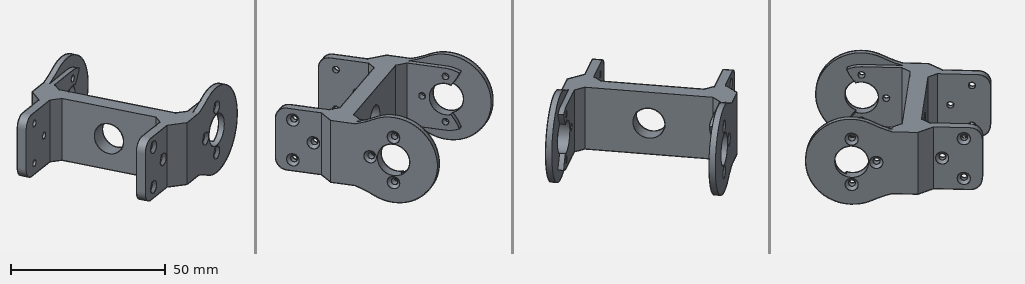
import cadquery as cq
import math

WIDTH = 56.0
LENGTH = 57.0
BODY_HEIGHT = 21.85

EAR_RADIUS = 15.0
EAR_THICKNESS = 2.1
EAR_HOLE_DIAMETER = 11.0
BLEND_START_ANGLE = 63.4
BLEND_RADIUS = 37.05

SIDE_THICKNESS = 4.0
PAD_TIP_Y = 4.8
PAD_ROOT_Y = 1.9
PAD_EDGE_RADIUS = 15.95

WEB_THICKNESS = 6.0
WEB_REAR_Y = 26.05
WEB_HOLE_DIAMETER = 10.5
CORNER_CHAMFER = 2.9
TAIL_INSET = 4.85
TAIL_THICKNESS = 3.25
SHOULDER_Y = 20.6
TAIL_CORNER_RADIUS = 4.0

SCREW_DIAMETER = 2.2
SCREW_HEAD_DIAMETER = 4.3
COUNTERSINK_ANGLE = 90.0
EAR_SCREW_CIRCLE_RADIUS = 8.0
TAIL_SCREW_Y = 6.0
TAIL_SCREW_Z = 7.0
TAIL_CENTRE_SCREW_Y = 13.0

half_width = WIDTH / 2
half_height = BODY_HEIGHT / 2
ear_y = LENGTH - EAR_RADIUS
web_front_y = WEB_REAR_Y - WEB_THICKNESS
ear_inner_x = half_width - EAR_THICKNESS
side_inner_x = half_width - SIDE_THICKNESS
tail_outer_x = half_width - TAIL_INSET
tail_inner_x = tail_outer_x - TAIL_THICKNESS


def slab(outline, x_start, x_end):
    """Extrude an outline drawn in Y and Z between two X positions."""
    return outline.extrude(x_end - x_start).translate((x_start, 0, 0))


def arc_middle(centre, radius, start, end):
    """Point on the circle halfway along the short arc from start to end."""
    y = (start[0] + end[0]) / 2 - centre[0]
    z = (start[1] + end[1]) / 2 - centre[1]
    scale = radius / math.hypot(y, z)
    return (centre[0] + y * scale, centre[1] + z * scale)


def mirrored(point):
    return (point[0], -point[1])


def body():
    """Right half of the constant-height frame: web, chamfered corners, side wall and tail."""
    half_outline = [
        (0, WEB_REAR_Y),
        (side_inner_x - CORNER_CHAMFER, WEB_REAR_Y),
        (side_inner_x, WEB_REAR_Y + CORNER_CHAMFER),
        (side_inner_x, LENGTH),
        (half_width, LENGTH),
        (half_width, SHOULDER_Y),
        (tail_outer_x, SHOULDER_Y - TAIL_INSET),
        (tail_outer_x, 0),
        (tail_inner_x, 0),
        (tail_inner_x, web_front_y - CORNER_CHAMFER),
        (tail_inner_x - CORNER_CHAMFER, web_front_y),
        (0, web_front_y),
    ]
    half = cq.Workplane("XY").polyline(half_outline).close().extrude(half_height, both=True)
    return half.edges("|X and <Y").fillet(TAIL_CORNER_RADIUS)


def pad_limit():
    """Side profile of the frame: round about the ear axis, with a notch behind the ear hole."""
    tip = (ear_y + PAD_TIP_Y, math.sqrt(half_height**2 - PAD_TIP_Y**2))
    root = (ear_y + PAD_ROOT_Y, math.sqrt((EAR_HOLE_DIAMETER / 2) ** 2 - PAD_ROOT_Y**2))
    chord_y = tip[0] - root[0]
    chord_z = tip[1] - root[1]
    chord = math.hypot(chord_y, chord_z)
    bulge = PAD_EDGE_RADIUS - math.sqrt(PAD_EDGE_RADIUS**2 - (chord / 2) ** 2)
    middle = (
        (tip[0] + root[0]) / 2 + bulge * chord_z / chord,
        (tip[1] + root[1]) / 2 - bulge * chord_y / chord,
    )
    notch = (
        cq.Workplane("YZ")
        .moveTo(*root)
        .threePointArc(middle, tip)
        .lineTo(LENGTH, tip[1])
        .lineTo(LENGTH, -tip[1])
        .lineTo(*mirrored(tip))
        .threePointArc(mirrored(middle), mirrored(root))
        .close()
    )
    disc = cq.Workplane("YZ").center(ear_y, 0).circle(half_height)
    block = cq.Workplane("YZ").rect(2 * ear_y, BODY_HEIGHT)
    profile = slab(block, 0, half_width).union(slab(disc, 0, half_width))
    return profile.cut(slab(notch, 0, half_width))


def ear():
    """Round plate that narrows to the body height through two concave arcs."""
    angle = math.radians(BLEND_START_ANGLE)
    blend_start = (ear_y - EAR_RADIUS * math.cos(angle), EAR_RADIUS * math.sin(angle))
    centre_distance = EAR_RADIUS + BLEND_RADIUS
    blend_centre = (
        ear_y - centre_distance * math.cos(angle),
        centre_distance * math.sin(angle),
    )
    drop = blend_centre[1] - half_height
    blend_end = (blend_centre[0] + math.sqrt(BLEND_RADIUS**2 - drop**2), half_height)
    blend_middle = arc_middle(blend_centre, BLEND_RADIUS, blend_start, blend_end)
    outline = (
        cq.Workplane("YZ")
        .moveTo(*blend_end)
        .threePointArc(blend_middle, blend_start)
        .threePointArc((LENGTH, 0), mirrored(blend_start))
        .threePointArc(mirrored(blend_middle), mirrored(blend_end))
        .close()
    )
    return slab(outline, ear_inner_x, half_width)


def screw_hole(y, z, outer_x):
    """Through hole along X with a countersink on the outer face."""
    head_radius = SCREW_HEAD_DIAMETER / 2
    screw_radius = SCREW_DIAMETER / 2
    sink_depth = (head_radius - screw_radius) / math.tan(math.radians(COUNTERSINK_ANGLE / 2))
    inner_x = outer_x - SIDE_THICKNESS
    profile = [
        (inner_x, 0),
        (inner_x, screw_radius),
        (outer_x - sink_depth, screw_radius),
        (outer_x, head_radius),
        (outer_x, 0),
    ]
    cutter = cq.Workplane("XY").polyline(profile).close().revolve(360, (0, 0, 0), (1, 0, 0))
    return cutter.translate((0, y, z))


def right_side():
    """Right half of the bracket, without the hole in the web."""
    half = body().intersect(pad_limit()).union(ear())
    ear_hole = cq.Workplane("YZ").center(ear_y, 0).circle(EAR_HOLE_DIAMETER / 2)
    half = half.cut(slab(ear_hole, 0, half_width))
    for angle in (90, 180, 270):
        y = ear_y + EAR_SCREW_CIRCLE_RADIUS * math.cos(math.radians(angle))
        z = EAR_SCREW_CIRCLE_RADIUS * math.sin(math.radians(angle))
        half = half.cut(screw_hole(y, z, half_width))
    tail_screws = [
        (TAIL_SCREW_Y, TAIL_SCREW_Z),
        (TAIL_SCREW_Y, -TAIL_SCREW_Z),
        (TAIL_CENTRE_SCREW_Y, 0),
    ]
    for y, z in tail_screws:
        half = half.cut(screw_hole(y, z, tail_outer_x))
    return half


right_half = right_side()
bracket = right_half.union(right_half.mirror("YZ"))
web_hole = cq.Workplane("XZ").circle(WEB_HOLE_DIAMETER / 2).extrude(-LENGTH)
result = bracket.cut(web_hole).clean()